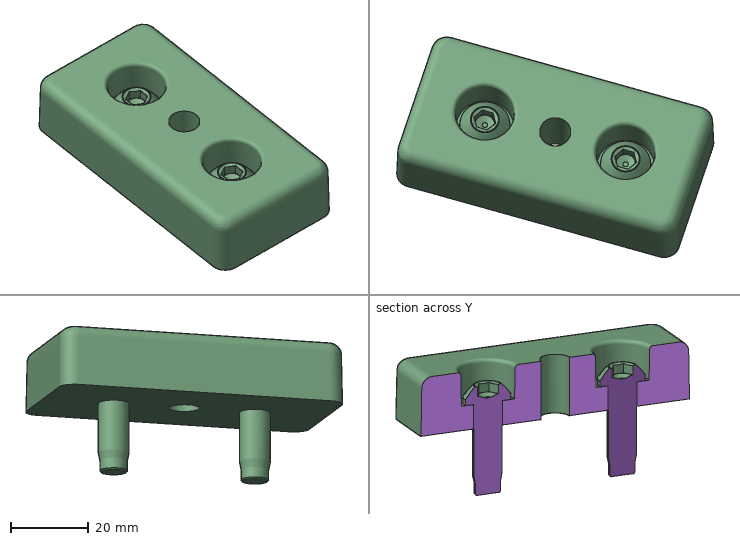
import cadquery as cq
import math

BLOCK_LENGTH = 76.2
BLOCK_WIDTH = BLOCK_LENGTH / 2
BLOCK_HEIGHT = 16.0
SIDE_DRAFT = 1.0
CORNER_RADIUS = 4.05
TOP_EDGE_RADIUS = 3.0
CENTRE_HOLE_DIAMETER = 8.0

SCREW_SPACING = BLOCK_LENGTH / 2
SCREW_POSITIONS = [(-SCREW_SPACING / 2, 0), (SCREW_SPACING / 2, 0)]
POCKET_FLOOR_RADIUS = 7.5
POCKET_DRAFT = 1.0
POCKET_FLOOR_Z = 6.8
POCKET_RIM_RADIUS = 1.0

SHANK_RADIUS = 8.0 / 2
SHANK_LENGTH = 25.0
TIP_RADIUS = 3.6
TIP_LENGTH = 3.0
TAPER_LENGTH = 2.1
TIP_CHAMFER = 0.4
HEAD_RADIUS = 13.0 / 2
HEAD_HEIGHT = 4.7
HEAD_RIM_HEIGHT = 1.5
HEAD_FACE_RADIUS = 3.7
DOME_BULGE = 0.15

HEX_ACROSS_FLATS = 5.0
HEX_DEPTH = 2.75
SOCKET_MOUTH_RADIUS = 3.5
SOCKET_END_RADIUS = 0.7
SOCKET_CONE_SLOPE = 20.0


def make_housing():
    """Drafted block with rounded edges, two stepped screw holes and a centre hole."""
    block = (
        cq.Workplane("XY")
        .rect(BLOCK_LENGTH, BLOCK_WIDTH)
        .extrude(BLOCK_HEIGHT, taper=SIDE_DRAFT)
    )
    leaning_corner_edges = "not(#Z or |X or |Y)"
    block = block.edges(leaning_corner_edges).fillet(CORNER_RADIUS)
    block = block.faces(">Z").edges().fillet(TOP_EDGE_RADIUS)

    block = block.cut(drill(CENTRE_HOLE_DIAMETER / 2, [(0, 0)]))
    block = block.cut(drill(SHANK_RADIUS, SCREW_POSITIONS))
    for position in SCREW_POSITIONS:
        block = block.cut(make_pocket(position))
    return block


def drill(radius, positions):
    """Cylinders as tall as the block, for cutting through holes."""
    return cq.Workplane("XY").pushPoints(positions).circle(radius).extrude(BLOCK_HEIGHT)


def make_pocket(position):
    """Drafted round pocket for a screw head, flared at the rim to round it off."""
    x, y = position
    draft = math.radians(POCKET_DRAFT)
    top_radius = POCKET_FLOOR_RADIUS + (BLOCK_HEIGHT - POCKET_FLOOR_Z) * math.tan(draft)

    tangent_length = POCKET_RIM_RADIUS * math.tan(math.pi / 4 - draft / 2)
    rim_radius = top_radius + tangent_length
    wall_end = (
        top_radius - tangent_length * math.sin(draft),
        BLOCK_HEIGHT - tangent_length * math.cos(draft),
    )
    return (
        cq.Workplane("XZ")
        .moveTo(0, POCKET_FLOOR_Z)
        .lineTo(POCKET_FLOOR_RADIUS, POCKET_FLOOR_Z)
        .lineTo(*wall_end)
        .radiusArc((rim_radius, BLOCK_HEIGHT), POCKET_RIM_RADIUS)
        .lineTo(0, BLOCK_HEIGHT)
        .close()
        .revolve(360, (0, 0), (0, 1))
        .translate((x, y, 0))
    )


def make_screw_blank():
    """Revolved shank and domed head, with the underside of the head on Z = 0."""
    tip_z = -SHANK_LENGTH
    taper_end_z = tip_z + TIP_LENGTH
    taper_start_z = taper_end_z + TAPER_LENGTH

    dome_run = HEAD_RADIUS - HEAD_FACE_RADIUS
    dome_rise = HEAD_HEIGHT - HEAD_RIM_HEIGHT
    chord = math.hypot(dome_run, dome_rise)
    dome_middle = (
        (HEAD_RADIUS + HEAD_FACE_RADIUS) / 2 + DOME_BULGE * dome_rise / chord,
        (HEAD_HEIGHT + HEAD_RIM_HEIGHT) / 2 + DOME_BULGE * dome_run / chord,
    )
    return (
        cq.Workplane("XZ")
        .moveTo(0, tip_z)
        .lineTo(TIP_RADIUS - TIP_CHAMFER, tip_z)
        .lineTo(TIP_RADIUS, tip_z + TIP_CHAMFER)
        .lineTo(TIP_RADIUS, taper_end_z)
        .lineTo(SHANK_RADIUS, taper_start_z)
        .lineTo(SHANK_RADIUS, 0)
        .lineTo(HEAD_RADIUS, 0)
        .lineTo(HEAD_RADIUS, HEAD_RIM_HEIGHT)
        .threePointArc(dome_middle, (HEAD_FACE_RADIUS, HEAD_HEIGHT))
        .lineTo(0, HEAD_HEIGHT)
        .close()
        .revolve(360, (0, 0), (0, 1))
    )


def make_socket():
    """Hexagon socket with a conical mouth and a conical bottom, cut from the head."""
    slope = math.tan(math.radians(SOCKET_CONE_SLOPE))
    hex_corner_radius = HEX_ACROSS_FLATS / math.sqrt(3)
    hex_bottom_z = HEAD_HEIGHT - HEX_DEPTH
    hexagon = (
        cq.Workplane("XY", origin=(0, 0, hex_bottom_z))
        .polygon(6, 2 * hex_corner_radius)
        .extrude(HEX_DEPTH)
    )
    mouth = (
        cq.Workplane("XZ")
        .moveTo(0, HEAD_HEIGHT)
        .lineTo(SOCKET_MOUTH_RADIUS, HEAD_HEIGHT)
        .lineTo(0, HEAD_HEIGHT - SOCKET_MOUTH_RADIUS * slope)
        .close()
        .revolve(360, (0, 0), (0, 1))
    )
    bottom_radius = HEX_ACROSS_FLATS / 2
    end_z = hex_bottom_z - (bottom_radius - SOCKET_END_RADIUS) * slope
    bottom = (
        cq.Workplane("XZ")
        .moveTo(0, hex_bottom_z)
        .lineTo(bottom_radius, hex_bottom_z)
        .lineTo(SOCKET_END_RADIUS, end_z)
        .lineTo(0, end_z)
        .close()
        .revolve(360, (0, 0), (0, 1))
    )
    return hexagon.union(mouth).union(bottom)


def make_screw(position):
    x, y = position
    screw = make_screw_blank().cut(make_socket())
    return screw.translate((x, y, POCKET_FLOOR_Z))


housing = make_housing()
screws = [make_screw(position) for position in SCREW_POSITIONS]

result = cq.Compound.makeCompound([housing.val(), *[screw.val() for screw in screws]])